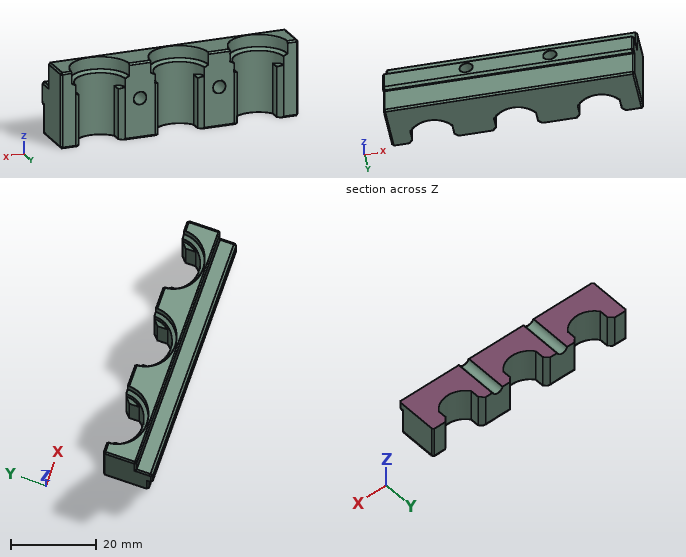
import cadquery as cq
import math

length = 60.0
height = 19.0
depth = 12.2

upper_depth = 8.15
base_depth = 11.2
rail_bottom = 7.1
rail_top = 12.9

edge_chamfer = 0.4
rail_chamfer = 0.6

hole_diameter = 3.2
hole_height = 10.0

cradle_pitch = length / 3
seat_radius = 7.25
rim_width = 0.09
rim_height = 0.3
seat_depth = 3.0
neck_radius = 6.25
neck_wall = 2.15
mouth_width = 10.0
taper_slope = math.tan(math.radians(30))

neck_step = neck_radius - mouth_width / 2
seat_floor = height - seat_depth
neck_top = seat_floor - (seat_radius - neck_radius) * taper_slope
lip_top = neck_top - neck_wall
lip_bottom = lip_top - neck_step * taper_slope


def make_body():
    """Extrude the stepped end profile along X and break its outer edges."""
    profile = [
        (0, 0),
        (-base_depth, 0),
        (-base_depth, rail_bottom),
        (-depth, rail_bottom),
        (-depth, rail_top),
        (-upper_depth, rail_top),
        (-upper_depth, height),
        (0, height),
    ]
    body = cq.Workplane("YZ").polyline(profile).close().extrude(length / 2, both=True)
    body = body.faces("<Y").edges("|X").chamfer(rail_chamfer)
    for corner_y, corner_z in [(0, 0), (-base_depth, 0), (-upper_depth, height), (0, height)]:
        corner = cq.selectors.NearestToPointSelector((0, corner_y, corner_z))
        body = body.edges(corner).chamfer(edge_chamfer)
    return body.faces("<X or >X").chamfer(edge_chamfer)


def make_cradle_cutter():
    """Round cutter about a vertical axis on the back face, trimmed to leave retaining lips."""
    half_section = [
        (0, 0),
        (neck_radius, 0),
        (neck_radius, neck_top),
        (seat_radius, seat_floor),
        (seat_radius, height - rim_height),
        (seat_radius + rim_width, height),
        (0, height),
    ]
    cutter = cq.Workplane("XZ").polyline(half_section).close().revolve(360, (0, 0), (0, 1))
    return cutter.cut(make_lip(1)).cut(make_lip(-1))


def make_lip(side):
    """Retaining lip on one side of a cradle, sloped on top and bevelled at the mouth."""
    inner = side * mouth_width / 2
    root = side * neck_radius
    section = [(inner, 0), (root, 0), (root, lip_top), (inner, lip_bottom)]
    lip = cq.Workplane("XZ").polyline(section).close().extrude(seat_radius)
    bevel = [(inner, 0), (root, 0), (inner, -neck_step)]
    return lip.cut(cq.Workplane("XY").polyline(bevel).close().extrude(height))


def make_holes():
    """Two screw holes along Y, midway between neighbouring cradles."""
    centres = [(side * cradle_pitch / 2, hole_height) for side in (-1, 1)]
    return cq.Workplane("XZ").pushPoints(centres).circle(hole_diameter / 2).extrude(depth)


result = make_body().cut(make_holes())
cradle_cutter = make_cradle_cutter()
for index in (-1, 0, 1):
    result = result.cut(cradle_cutter.translate((index * cradle_pitch, 0, 0)))